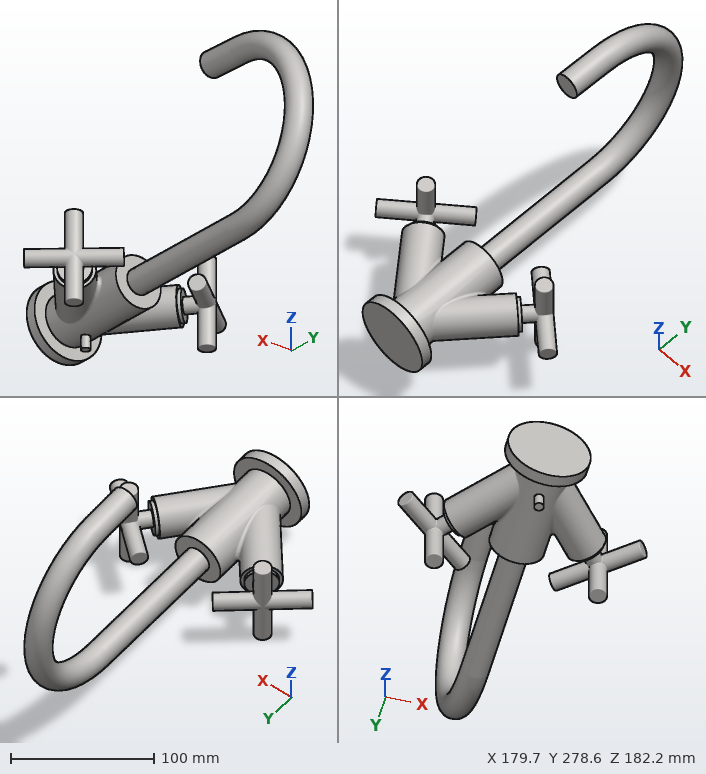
import cadquery as cq
import math


flange_radius = 29.9
flange_thickness = 9.0

body_radius = 20.0
body_end_y = 88.0

branch_angle = 40.0
branch_origin_y = 19.8
barrel_radius = 15.0
barrel_length = 73.1
barrel_fillet = 2.0

collar_radius = 12.3
collar_thickness = 2.8

handle_distance = 92.1
handle_bar_radius = 6.5
handle_bar_length = 69.7
handle_end_fillet = 0.5
stem_radius = 6.3
handle_fillet = 0.5

spout_radius = 10.0
bend_radius = 68.1
bend_start_y = 200.5
outlet_rise_angle = 2.0
outlet_length = 33.0

pin_radius = 3.4
pin_y = 28.7
pin_end_z = -30.0

collar_end = barrel_length + collar_thickness
side_signs = (-1, 1)


def rod(start, direction, radius, length):
    """Round rod from a start point along a direction."""
    return cq.Workplane(cq.Solid.makeCylinder(radius, length, cq.Vector(*start), cq.Vector(*direction)))


def branch_direction(side):
    angle = math.radians(branch_angle)
    return cq.Vector(side * math.sin(angle), math.cos(angle), 0)


def branch_point(side, distance):
    """Point on a branch axis at a distance from the body axis."""
    return (cq.Vector(0, branch_origin_y, 0) + branch_direction(side) * distance).toTuple()


def branch_rod(side, start, end, radius):
    """Round rod along a branch axis between two distances."""
    return rod(branch_point(side, start), branch_direction(side).toTuple(), radius, end - start)


def fillet_seams(solid, radius):
    """Blend the curved seams where cylinders cross, leaving circles and straight edges."""
    seams = [edge for edge in solid.edges().vals() if edge.geomType() not in ("CIRCLE", "LINE")]
    return solid.newObject(seams).fillet(radius)


def make_flange():
    return rod((0, 0, 0), (0, 1, 0), flange_radius, flange_thickness)


def make_body():
    """Central cylinder with both barrels, blended where they meet."""
    body = rod((0, flange_thickness, 0), (0, 1, 0), body_radius, body_end_y - flange_thickness)
    for side in side_signs:
        body = body.union(branch_rod(side, 0, barrel_length, barrel_radius))
    return fillet_seams(body, barrel_fillet)


def make_collar(side):
    return branch_rod(side, barrel_length, collar_end, collar_radius)


def handle_bar(center, direction):
    """Round-edged bar centred on a point."""
    start = cq.Vector(*center) - direction * (handle_bar_length / 2)
    bar = rod(start.toTuple(), direction.toTuple(), handle_bar_radius, handle_bar_length)
    return bar.edges("%CIRCLE").fillet(handle_end_fillet)


def make_handle(side):
    """Upright and level bars crossing on the stem, blended where they meet."""
    center = branch_point(side, handle_distance)
    upright = cq.Vector(0, 0, 1)
    level = upright.cross(branch_direction(side))
    stem = branch_rod(side, collar_end, handle_distance, stem_radius)
    handle = stem.union(handle_bar(center, upright)).union(handle_bar(center, level))
    return fillet_seams(handle, handle_fillet)


def make_spout():
    """Straight pipe, a bend just short of a half turn, and a slightly rising outlet."""
    rise = math.radians(outlet_rise_angle)
    bend_angle = math.pi - rise

    def bend_point(angle):
        """Centreline point (Y, Z) after turning through an angle."""
        return (bend_start_y + bend_radius * math.sin(angle), bend_radius * (1 - math.cos(angle)))

    bend_end = bend_point(bend_angle)
    outlet_end = (
        bend_end[0] - outlet_length * math.cos(rise),
        bend_end[1] + outlet_length * math.sin(rise),
    )
    path = (
        cq.Workplane("YZ")
        .moveTo(body_end_y, 0)
        .lineTo(bend_start_y, 0)
        .threePointArc(bend_point(bend_angle / 2), bend_end)
        .lineTo(*outlet_end)
    )
    return cq.Workplane("XZ", origin=(0, body_end_y, 0)).circle(spout_radius).sweep(path)


def make_pin(body):
    """Pin hanging from the underside, its top shaped to the body."""
    pin = rod((0, pin_y, 0), (0, 0, -1), pin_radius, -pin_end_z)
    return pin.cut(body)


flange = make_flange()
body = make_body()
spout = make_spout()
pin = make_pin(body)
collars = [make_collar(side).val() for side in side_signs]
handles = [make_handle(side).val() for side in side_signs]

result = cq.Compound.makeCompound(
    [flange.val(), body.val(), spout.val(), pin.val(), *collars, *handles]
)